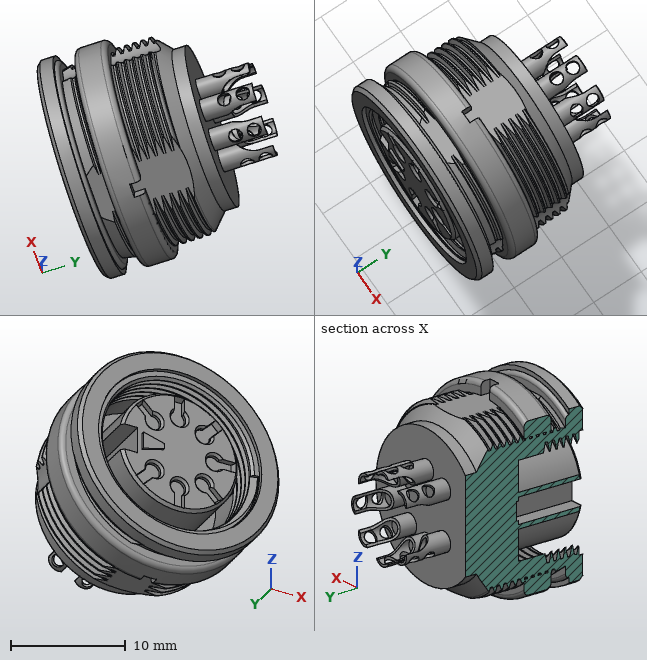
import cadquery as cq
import math


FLANGE_R = 20.0 / 2
FLANGE_BACK_Y = 1.55
FLANGE_CHAMFER_RADIAL = 0.3
FLANGE_CHAMFER_AXIAL = 0.35
SEAL_R = 9.55
SEAL_BACK_Y = 1.92
SEAL_ROUND = 0.38
NECK_R = 8.62
THREAD_R = 9.0
THREAD_FRONT_Y = 3.6
REAR_CONE_FRONT_R = 8.75
REAR_CONE_Y = 10.35
REAR_R = 14.8 / 2
REAR_STEP_Y = 11.62
REAR_Y = 12.82

BARREL_R = 8.15
BARREL_BACK_Y = 9.5
SHELL_SEAM_ANGLE = 225

PITCH = 0.75
OUTER_ROOT_R = 8.58
OUTER_GROOVE_START_Y = 2.6
OUTER_GROOVE_START_ANGLE = 202.5
FLAT_Z = 8.38
SIDE_GROOVE_R = 2.5
SIDE_GROOVE_BOTTOM_R = 8.22

NUT_FRONT_Y = 3.42
NUT_BACK_Y = 6.45
NUT_R = 20.0 / 2
NUT_BORE_R = 8.7
NUT_ROUND = 0.5
NUT_SLOT_WIDTH = 1.25
NUT_SLOT_DEPTH = 1.0

COUNTERBORE_R = 16.2 / 2
COUNTERBORE_DEPTH = 0.4
BORE_LEAD_R = 15.2 / 2
BORE_R = 14.7 / 2
CAVITY_DEPTH = 7.0
INNER_GROOVE_R = 8.0
INNER_GROOVE_START_Y = 0.5
INNER_THREAD_TURNS = 5

GROOVE_MOUTH = 0.62
GROOVE_ROOT = 0.2
GROOVE_OVERCUT = 0.1

POST_FACE_Y = 0.1
POST_R = 5.87
POST_TOP_R = 5.6
POST_CHAMFER = 0.3
KEY_WIDTH = 2.56
KEY_BOTTOM_X = -4.17
KEY_RECESS_R = 5.67
KEY_RECESS_DEPTH = 0.2
SOCKET_MOUTH_R = 1.9 / 2
SOCKET_R = 1.5 / 2
SOCKET_DEPTH = 0.55
SOCKET_CHAMFER_DEPTH = 0.27
SOCKET_SLOT_WIDTH = 1.0
SOCKET_SLOT_TOP_R = 5.6
SOCKET_SLOT_FLOOR_R = 5.38

MARK_FRONT_Y = -0.15
MARK_BASE_X = -3.72
MARK_TIP_X = -1.65
MARK_BASE_HALF_WIDTH = 0.83
MARK_TIP_HALF_WIDTH = 0.25

PIN_CIRCLE_R = 3.5
PIN_ANGLES = range(-135, 136, 45)
PIN_R = 2.0 / 2
PIN_BORE_R = 1.5 / 2
PIN_END_Y = 17.65
PIN_BORE_BOTTOM_Y = 14.2
PIN_HOLE_R = 1.2 / 2
PIN_HOLE_YS = (15.0, 16.7)
PIN_CUT_OFFSET = 0.48
PIN_CUT_ARC_Y = 16.47
PIN_CUT_R = 2.0

OVERLAP = 0.3


def disc(radius, y_start, y_end):
    """Cylinder about the Y axis."""
    return cq.Workplane("XZ", origin=(0, y_start, 0)).circle(radius).extrude(y_start - y_end)


def block(x_range, y_range, z_range):
    """Box given by its limits along each axis."""
    sizes = [high - low for low, high in (x_range, y_range, z_range)]
    corner = (x_range[0], y_range[0], z_range[0])
    return cq.Workplane("XY").box(*sizes, centered=False).translate(corner)


def around_axis(shape, angle):
    """Turn a shape about the Y axis, from +X toward +Z."""
    return shape.rotate((0, 0, 0), (0, 1, 0), -angle)


def helical_groove(mouth_r, root_r, start_y, turns, start_angle):
    """Right-handed trapezoidal groove whose mouth lies at mouth_r and whose root lies at root_r."""
    outward = math.copysign(1, mouth_r - root_r)
    open_r = mouth_r + outward * GROOVE_OVERCUT
    flank = (GROOVE_MOUTH - GROOVE_ROOT) / 2 / abs(mouth_r - root_r)
    open_half = GROOVE_MOUTH / 2 + flank * GROOVE_OVERCUT
    root_half = GROOVE_ROOT / 2
    path = cq.Workplane(cq.Wire.makeHelix(PITCH, PITCH * turns, mouth_r))
    groove = (
        cq.Workplane("XZ")
        .polyline([(root_r, -root_half), (root_r, root_half), (open_r, open_half), (open_r, -open_half)])
        .close()
        .sweep(path, isFrenet=True)
    )
    groove = groove.rotate((0, 0, 0), (0, 0, 1), start_angle)
    return groove.rotate((0, 0, 0), (1, 0, 0), -90).translate((0, start_y, 0))


def make_front():
    """Flange and seal seat, with a barrel behind them that fills the threaded shell."""
    round_middle = SEAL_ROUND * (1 - math.sqrt(0.5))
    return (
        cq.Workplane("XY")
        .moveTo(0, 0)
        .lineTo(FLANGE_R - FLANGE_CHAMFER_RADIAL, 0)
        .lineTo(FLANGE_R, FLANGE_CHAMFER_AXIAL)
        .lineTo(FLANGE_R, FLANGE_BACK_Y)
        .lineTo(SEAL_R, FLANGE_BACK_Y)
        .lineTo(SEAL_R, SEAL_BACK_Y - SEAL_ROUND)
        .threePointArc(
            (SEAL_R - round_middle, SEAL_BACK_Y - round_middle), (SEAL_R - SEAL_ROUND, SEAL_BACK_Y)
        )
        .lineTo(BARREL_R, SEAL_BACK_Y)
        .lineTo(BARREL_R, BARREL_BACK_Y)
        .lineTo(0, BARREL_BACK_Y)
        .close()
        .revolve(360, (0, 0, 0), (0, 1, 0))
    )


def make_shell_envelope():
    """Round outline with flats at +Z and -Z and hollow grooves at +X and -X."""
    y_range = (SEAL_BACK_Y, REAR_STEP_Y)
    envelope = disc(FLANGE_R, *y_range)
    envelope = envelope.intersect(block((-FLANGE_R, FLANGE_R), y_range, (-FLAT_Z, FLAT_Z)))
    for side in (1, -1):
        groove_x = side * (SIDE_GROOVE_BOTTOM_R + SIDE_GROOVE_R)
        envelope = envelope.cut(disc(SIDE_GROOVE_R, *y_range).translate((groove_x, 0, 0)))
    return envelope


def make_shell():
    """Threaded cup with a tapered neck and a rear cone."""
    blank = (
        cq.Workplane("XY")
        .moveTo(BARREL_R, SEAL_BACK_Y)
        .lineTo(NECK_R, SEAL_BACK_Y)
        .lineTo(THREAD_R, THREAD_FRONT_Y)
        .lineTo(THREAD_R, REAR_CONE_Y - (THREAD_R - REAR_CONE_FRONT_R))
        .lineTo(REAR_CONE_FRONT_R, REAR_CONE_Y)
        .lineTo(REAR_R, REAR_STEP_Y)
        .lineTo(0, REAR_STEP_Y)
        .lineTo(0, BARREL_BACK_Y)
        .lineTo(BARREL_R, BARREL_BACK_Y)
        .close()
        .revolve(360, (0, 0, 0), (0, 1, 0))
    )
    turns = (REAR_CONE_Y + PITCH - OUTER_GROOVE_START_Y) / PITCH
    groove = helical_groove(THREAD_R, OUTER_ROOT_R, OUTER_GROOVE_START_Y, turns, OUTER_GROOVE_START_ANGLE)
    return around_axis(blank, SHELL_SEAM_ANGLE).cut(groove).intersect(make_shell_envelope())


def make_nut():
    """Round nut with rounded rims and two wrench slots in its rear face."""
    nut = disc(NUT_R, NUT_FRONT_Y, NUT_BACK_Y).edges().fillet(NUT_ROUND)
    nut = nut.cut(disc(NUT_BORE_R, NUT_FRONT_Y, NUT_BACK_Y))
    half_slot = NUT_SLOT_WIDTH / 2
    slots = block(
        (-half_slot, half_slot), (NUT_BACK_Y - NUT_SLOT_DEPTH, NUT_BACK_Y), (-NUT_R, NUT_R)
    )
    return nut.cut(slots)


def make_cavity():
    """Ring-shaped cavity around the socket post, with the post face slightly below the flange face."""
    lead_end_y = COUNTERBORE_DEPTH + BORE_LEAD_R - BORE_R
    return (
        cq.Workplane("XY")
        .moveTo(0, 0)
        .lineTo(COUNTERBORE_R, 0)
        .lineTo(COUNTERBORE_R, COUNTERBORE_DEPTH)
        .lineTo(BORE_LEAD_R, COUNTERBORE_DEPTH)
        .lineTo(BORE_R, lead_end_y)
        .lineTo(BORE_R, CAVITY_DEPTH)
        .lineTo(POST_R, CAVITY_DEPTH)
        .lineTo(POST_R, POST_FACE_Y + POST_CHAMFER)
        .lineTo(POST_TOP_R, POST_FACE_Y)
        .lineTo(0, POST_FACE_Y)
        .close()
        .revolve(360, (0, 0, 0), (0, 1, 0))
    )


def make_inner_groove():
    """Thread groove in the wall of the front cavity."""
    return helical_groove(BORE_R, INNER_GROOVE_R, INNER_GROOVE_START_Y, INNER_THREAD_TURNS, 0)


def make_key():
    """Keyway in the side of the post, with a shallow recess in its floor."""
    z_range = (-KEY_WIDTH / 2, KEY_WIDTH / 2)
    x_range = (-POST_R - OVERLAP, KEY_BOTTOM_X)
    keyway = block(x_range, (0, CAVITY_DEPTH), z_range)
    recess_y = (CAVITY_DEPTH, CAVITY_DEPTH + KEY_RECESS_DEPTH)
    recess = block(x_range, recess_y, z_range).intersect(disc(KEY_RECESS_R, *recess_y))
    return keyway.union(recess)


def make_socket(angle):
    """Shallow chamfered pocket with a slot that runs outward to a sloped end."""
    pocket = (
        cq.Workplane("XY")
        .polyline(
            [
                (0, 0),
                (SOCKET_MOUTH_R, 0),
                (SOCKET_R, SOCKET_CHAMFER_DEPTH),
                (SOCKET_R, SOCKET_DEPTH),
                (0, SOCKET_DEPTH),
            ]
        )
        .close()
        .revolve(360, (0, 0, 0), (0, 1, 0))
        .translate((PIN_CIRCLE_R, 0, 0))
    )
    slot = (
        cq.Workplane("XY")
        .polyline(
            [
                (PIN_CIRCLE_R, 0),
                (SOCKET_SLOT_TOP_R, 0),
                (SOCKET_SLOT_FLOOR_R, SOCKET_DEPTH),
                (PIN_CIRCLE_R, SOCKET_DEPTH),
            ]
        )
        .close()
        .extrude(SOCKET_SLOT_WIDTH / 2, both=True)
    )
    return around_axis(pocket.union(slot).translate((0, POST_FACE_Y, 0)), angle)


def make_index_mark():
    """Raised tapered pad between the keyway and the centre."""
    return (
        cq.Workplane("XZ", origin=(0, OVERLAP, 0))
        .polyline(
            [
                (MARK_BASE_X, -MARK_BASE_HALF_WIDTH),
                (MARK_TIP_X, -MARK_TIP_HALF_WIDTH),
                (MARK_TIP_X, MARK_TIP_HALF_WIDTH),
                (MARK_BASE_X, MARK_BASE_HALF_WIDTH),
            ]
        )
        .close()
        .extrude(OVERLAP - MARK_FRONT_Y)
    )


def make_pin(angle):
    """Solder cup: bored pin, its inward side cut away with an arc at the foot, two holes in its wall."""
    pin = disc(PIN_R, REAR_Y - OVERLAP, PIN_END_Y).cut(disc(PIN_BORE_R, PIN_BORE_BOTTOM_Y, PIN_END_Y))
    arc_centre_x = PIN_CUT_OFFSET - PIN_CUT_R
    opening = (
        cq.Workplane("XY")
        .moveTo(PIN_CUT_OFFSET, PIN_END_Y)
        .lineTo(PIN_CUT_OFFSET, PIN_CUT_ARC_Y)
        .radiusArc((arc_centre_x, PIN_CUT_ARC_Y - PIN_CUT_R), PIN_CUT_R)
        .lineTo(arc_centre_x, PIN_END_Y)
        .close()
        .extrude(PIN_R, both=True)
    )
    pin = pin.cut(opening)
    for hole_y in PIN_HOLE_YS:
        hole = cq.Workplane("YZ", origin=(0, hole_y, 0)).circle(PIN_HOLE_R).extrude(PIN_R)
        pin = pin.cut(hole)
    return around_axis(pin.translate((PIN_CIRCLE_R, 0, 0)), angle)


front = make_front().cut(make_cavity()).cut(make_inner_groove()).cut(make_key())
rear = disc(REAR_R, REAR_STEP_Y, REAR_Y)
for pin_angle in PIN_ANGLES:
    front = front.cut(make_socket(pin_angle))
    rear = rear.union(make_pin(pin_angle))
front = front.union(make_index_mark())
result = make_shell().union(make_nut()).union(front).union(rear)